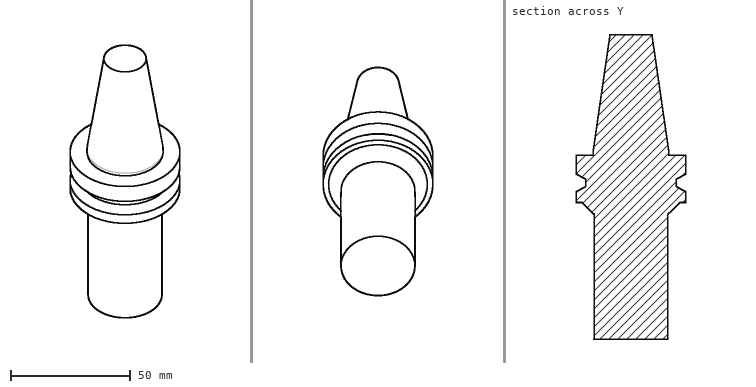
import cadquery as cq

total_height = 127.4

shank_diameter = 31.0
shank_length = 52.2

flange_diameter = 46.0
flange_bottom = 57.2
flange_top = 77.1
flange_underside_diameter = 41.3
groove_diameter = 38.0
groove_lower_edge = 61.8
groove_upper_edge = 69.0
groove_wall_height = 2.2

taper_base_diameter = 31.8
taper_tip_diameter = 17.7
taper_collar_height = 1.5

shank_radius = shank_diameter / 2
flange_radius = flange_diameter / 2
groove_radius = groove_diameter / 2
taper_base_radius = taper_base_diameter / 2

profile = [
    (0, 0),
    (shank_radius, 0),
    (shank_radius, shank_length),
    (flange_underside_diameter / 2, flange_bottom),
    (flange_radius, flange_bottom),
    (flange_radius, groove_lower_edge),
    (groove_radius, groove_lower_edge + groove_wall_height),
    (groove_radius, groove_upper_edge - groove_wall_height),
    (flange_radius, groove_upper_edge),
    (flange_radius, flange_top),
    (taper_base_radius, flange_top),
    (taper_base_radius, flange_top + taper_collar_height),
    (taper_tip_diameter / 2, total_height),
    (0, total_height),
]

result = cq.Workplane("XZ").polyline(profile).close().revolve(360, (0, 0, 0), (0, 1, 0))